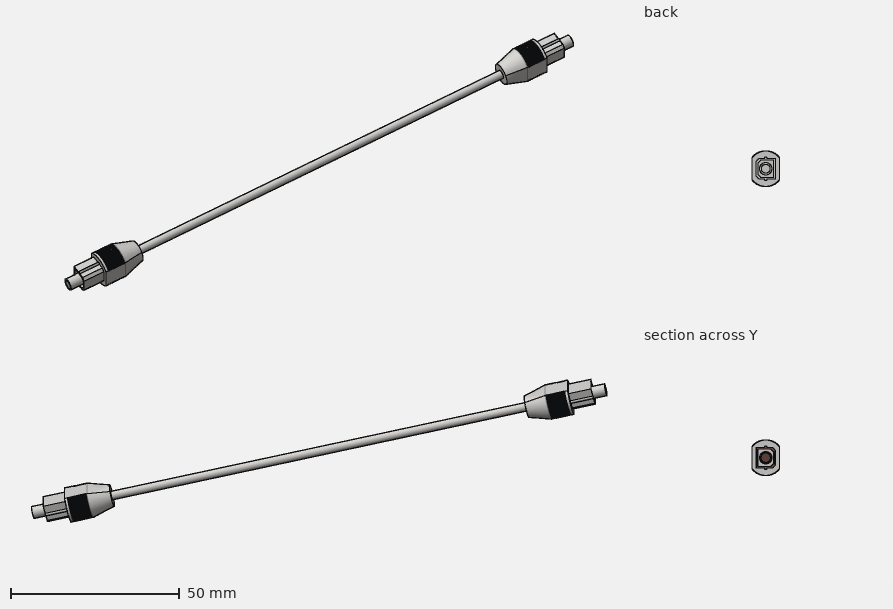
import cadquery as cq
import math

total_length = 174.8

ferrule_length = 3.8
insert_length = 6.8
grip_length = 6.8
boot_length = 6.6

cable_radius = 1.31
ferrule_diameter = 3.7

insert_width = 5.8
insert_height = 6.1
insert_chamfer = 0.9
insert_wall = 0.5
rib_radius = 0.44

grip_width = 8.2
grip_height = 10.7
grip_radius = grip_height / 2
groove_count = 9
groove_pitch = 0.65
groove_width = 0.49
groove_depth = 0.2
first_groove = 1.14

boot_end_radius = 3.3

tip_y = -total_length / 2
insert_y = tip_y + ferrule_length
grip_y = insert_y + insert_length
boot_y = grip_y + grip_length

flat_half_width = grip_width / 2
flat_half_height = math.sqrt(grip_radius**2 - flat_half_width**2)


def section(y):
    """Sketch plane across the cable at y, extruding toward +Y."""
    return cq.Workplane("XZ", origin=(0, y, 0)).transformed(rotate=(180, 0, 0))


def insert_prism(inset):
    """The insert outline with its two keyed corners, moved inward by inset and extruded."""
    return (
        section(insert_y)
        .rect(insert_width - 2 * inset, insert_height - 2 * inset)
        .extrude(insert_length)
        .edges("|Y and >X")
        .chamfer(insert_chamfer)
    )


def make_insert():
    """Hollow keyed shell with a round rib along the middle of its top and bottom."""
    rib_z = insert_height / 2
    ribs = (
        section(insert_y)
        .pushPoints([(0, rib_z), (0, -rib_z)])
        .circle(rib_radius)
        .extrude(insert_length)
    )
    return insert_prism(0).union(ribs).cut(insert_prism(insert_wall))


def grip_groove(center_y):
    """Ring with a V-shaped section that cuts one groove around the grip."""
    outer_radius = grip_radius + groove_depth
    return (
        cq.Workplane("XY")
        .polyline(
            [
                (grip_radius - groove_depth, center_y),
                (outer_radius, center_y - groove_width),
                (outer_radius, center_y + groove_width),
            ]
        )
        .close()
        .revolve(360, (0, 0, 0), (0, 1, 0))
    )


def make_grip():
    flats = section(grip_y).rect(grip_width, grip_height).extrude(grip_length)
    grip = section(grip_y).circle(grip_radius).extrude(grip_length).intersect(flats)
    for i in range(groove_count):
        grip = grip.cut(grip_groove(grip_y + first_groove + i * groove_pitch))
    return grip


def make_boot():
    scale = boot_end_radius / grip_radius
    end_x = flat_half_width * scale
    end_z = flat_half_height * scale
    return (
        section(boot_y)
        .moveTo(flat_half_width, -flat_half_height)
        .threePointArc((0, -grip_radius), (-flat_half_width, -flat_half_height))
        .lineTo(-flat_half_width, flat_half_height)
        .threePointArc((0, grip_radius), (flat_half_width, flat_half_height))
        .close()
        .workplane(offset=boot_length)
        .moveTo(end_x, -end_z)
        .threePointArc((0, -boot_end_radius), (-end_x, -end_z))
        .threePointArc((-boot_end_radius, 0), (-end_x, end_z))
        .threePointArc((0, boot_end_radius), (end_x, end_z))
        .threePointArc((boot_end_radius, 0), (end_x, -end_z))
        .close()
        .loft(ruled=True)
    )


def make_cable():
    return section(tip_y).circle(cable_radius).extrude(total_length)


def make_plug():
    """The plug at the -Y end, bored through for the cable."""
    ferrule = section(tip_y).circle(ferrule_diameter / 2).extrude(ferrule_length + insert_length)
    plug = make_insert().union(ferrule).union(make_grip()).union(make_boot())
    return plug.cut(make_cable())


near_plug = make_plug()
plugs = [near_plug, near_plug.mirror("XZ")]
cable = make_cable()

result = cq.Compound.makeCompound([*(plug.val() for plug in plugs), cable.val()])